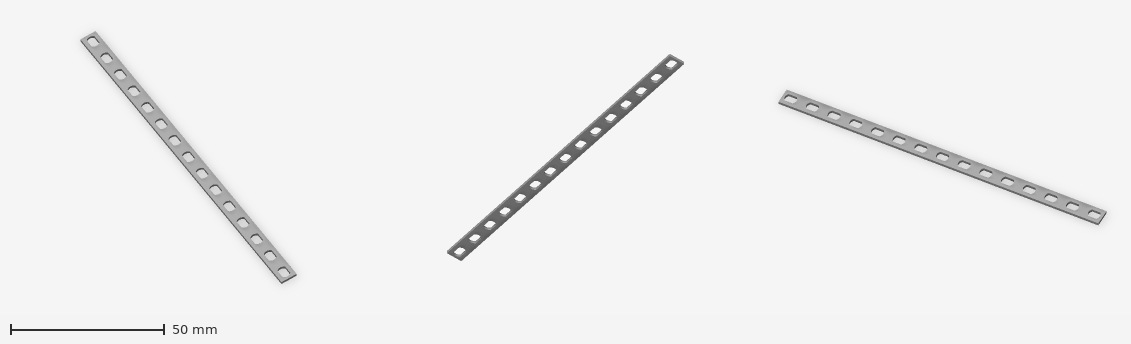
import cadquery as cq

strip_length = 116.6
strip_width = 6.0
strip_thickness = 1.0

hole_count = 15
hole_diameter = 4.2
hole_width = 3.0
end_margin = strip_width / 2
hole_pitch = (strip_length - 2 * end_margin) / (hole_count - 1)

strip = cq.Workplane("XY").box(strip_length, strip_width, strip_thickness)


def hole_row(cutter_height):
    """Cutters for the row of flat-sided holes, centred on the strip."""
    cylinders = (
        cq.Workplane("XY")
        .rarray(hole_pitch, strip_width, hole_count, 1)
        .circle(hole_diameter / 2)
        .extrude(cutter_height / 2, both=True)
    )
    between_flats = cq.Workplane("XY").box(strip_length, hole_width, cutter_height)
    return cylinders.intersect(between_flats)


result = strip.cut(hole_row(2 * strip_thickness))